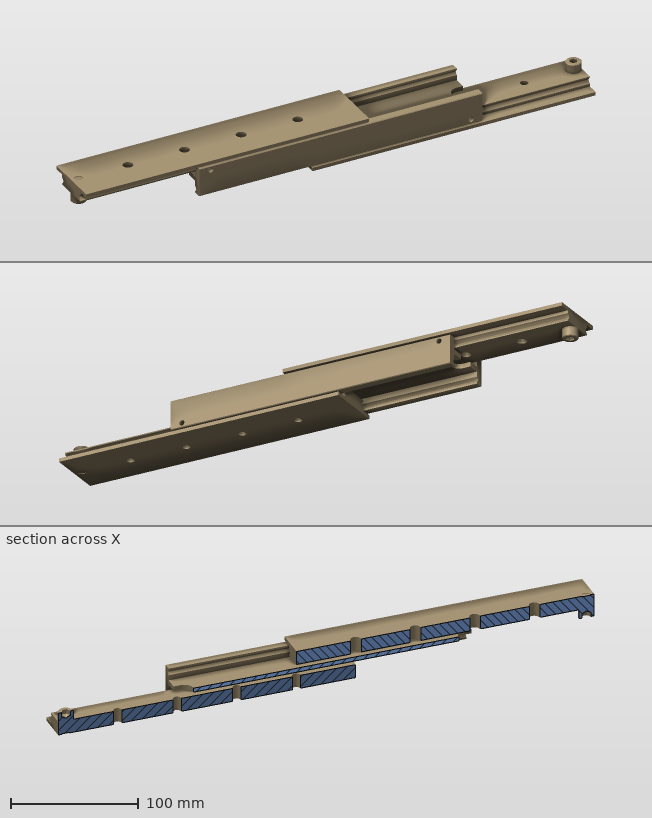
import cadquery as cq
import math


width = 50.0
total_height = 34.0
total_length = 450.0
rail_length = 250.0
slide_length = 250.0

slide_height = 25.0
slide_wall = 7.0
web_thickness = 4.0
slide_chamfer = 0.6
slide_track_depth = 1.8
slide_track_mouth = 4.4
stop_slot_width = 15.0
stop_slot_depth = 13.5
pin_hole_diameter = 4.5
pin_hole_inset = 10.0

plate_thickness = 3.0
rail_inner_face = 5.0
rail_body_width = 30.6
rail_track_depth = 2.2
rail_track_mouth = 5.5
upper_hole_diameter = 8.5
lower_hole_diameter = 6.6
hole_pitch = 50.0
hole_count = 4

track_height = 8.75
track_flank_bulge = 0.65

screw_head_diameter = 13.0
screw_head_height = 8.0
screw_head_chamfer = 0.6
screw_inset = screw_head_diameter / 2
socket_sides = 6
socket_across_flats = 6.0
socket_across_corners = socket_across_flats / math.cos(math.pi / socket_sides)
socket_turn = 180 / socket_sides
socket_depth = 4.0
socket_cone_depth = 1.7
screw_tip_diameter = 6.6
screw_tip_recess = 0.5

outer_z = total_height / 2
plate_inner_z = outer_z - plate_thickness
rail_end_y = -total_length / 2
rail_center_y = rail_end_y + rail_length / 2
screw_y = rail_end_y + screw_inset
half_body = rail_body_width / 2
channel_half_width = width / 2 - slide_wall


def ball_tracks(face_x, depth, mouth_height, length, center_y):
    """Cutter for a pair of pointed grooves with mouths at +/- face_x; a positive depth cuts outward."""
    cutter = cq.Workplane("XZ", origin=(0, center_y + length / 2, 0))
    for side in (-1, 1):
        mouth_x = side * face_x
        flank_x = side * (face_x + track_flank_bulge * depth)
        cutter = cutter.moveTo(mouth_x, track_height - mouth_height / 2).threePointArc(
            (flank_x, track_height - mouth_height / 4),
            (side * (face_x + depth), track_height),
        ).threePointArc(
            (flank_x, track_height + mouth_height / 4),
            (mouth_x, track_height + mouth_height / 2),
        ).close()
    return cutter.extrude(length)


def make_slide():
    channel_depth = (slide_height - web_thickness) / 2
    channel_z = (slide_height + web_thickness) / 4
    body = cq.Workplane("XY").box(width, slide_length, slide_height)
    body = body.edges("|Y").chamfer(slide_chamfer)

    channel = cq.Workplane("XY", origin=(0, 0, channel_z)).box(
        2 * channel_half_width, slide_length, channel_depth
    )
    channel = channel.union(
        ball_tracks(channel_half_width, slide_track_depth, slide_track_mouth, slide_length, 0)
    )
    body = body.cut(channel).cut(channel.rotate((0, 0, 0), (0, 1, 0), 180))

    for end in (-1, 1):
        slot_end_y = end * slide_length / 2
        slot = cq.Workplane("XY", origin=(0, slot_end_y, 0)).slot2D(
            2 * stop_slot_depth, stop_slot_width, 90
        ).extrude(web_thickness, both=True)
        pin_hole = cq.Workplane(
            "YZ", origin=(0, end * (slide_length / 2 - pin_hole_inset), -end * track_height)
        ).circle(pin_hole_diameter / 2).extrude(width, both=True)
        body = body.cut(slot).cut(pin_hole)
    return body


def make_rail(hole_diameter):
    """Rail in its upper position, reaching out toward -Y."""
    plate = cq.Workplane("XY", origin=(0, rail_center_y, plate_inner_z)).rect(
        width, rail_length
    ).extrude(plate_thickness)
    body = cq.Workplane("XY", origin=(0, rail_center_y, rail_inner_face)).rect(
        rail_body_width, rail_length
    ).extrude(plate_inner_z - rail_inner_face)
    rail = plate.union(body)
    rail = rail.cut(
        ball_tracks(half_body, -rail_track_depth, rail_track_mouth, rail_length, rail_center_y)
    )

    hole_places = [(0, rail_end_y + hole_pitch * (i + 1)) for i in range(hole_count)]
    holes = cq.Workplane("XY").pushPoints(hole_places).circle(hole_diameter / 2).extrude(outer_z)
    rail = rail.cut(holes)

    head_end_z = rail_inner_face - screw_head_height
    head = cq.Workplane("XY", origin=(0, screw_y, head_end_z)).circle(
        screw_head_diameter / 2
    ).extrude(screw_head_height).faces("<Z").edges().chamfer(screw_head_chamfer)
    socket = cq.Workplane("XY", origin=(0, screw_y, head_end_z)).polygon(
        socket_sides, socket_across_corners
    ).extrude(socket_depth).rotate((0, screw_y, 0), (0, screw_y, 1), socket_turn)
    socket_cone = cq.Workplane("XY").add(cq.Solid.makeCone(
        socket_across_flats / 2, 0, socket_cone_depth,
        pnt=cq.Vector(0, screw_y, head_end_z + socket_depth),
    ))
    socket = socket.union(socket_cone)
    tip_recess = cq.Workplane("XY", origin=(0, screw_y, outer_z - screw_tip_recess)).circle(
        screw_tip_diameter / 2
    ).extrude(screw_tip_recess)
    return rail.union(head).cut(socket).cut(tip_recess)


slide = make_slide()
upper_rail = make_rail(upper_hole_diameter)
lower_rail = make_rail(lower_hole_diameter).rotate((0, 0, 0), (1, 0, 0), 180)

result = cq.Compound.makeCompound([slide.val(), upper_rail.val(), lower_rail.val()])